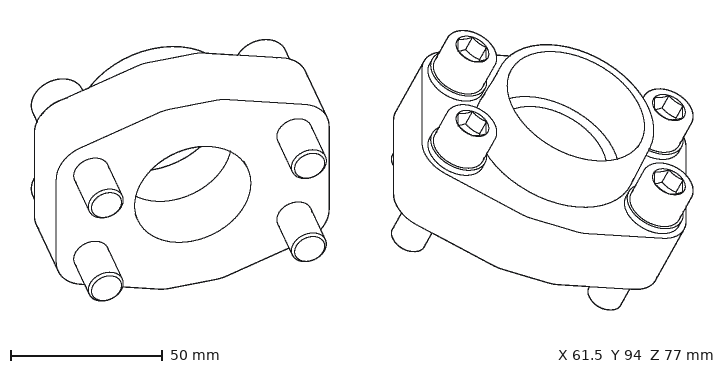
import cadquery as cq
import math

plate_thickness = 25.0
collar_length = 19.0
screw_projection = 17.5

bolt_y = 35.0
bolt_z = 17.9
corner_radius = 12.0
top_arc_y = 8.0
plate_height = 77.0
top_arc_z = plate_height / 2 - corner_radius

collar_end_radius = 28.0
collar_root_radius = 28.5
collar_root_fillet = 0.75
collar_rim_fillet = 0.8
bore_radius = 20.0
pipe_socket_radius = 24.4
pipe_socket_depth = 22.0

washer_radius = 10.0
washer_thickness = 2.4
head_radius = 9.0
head_height = 12.0
head_fillet = 1.1
shank_radius = 6.0
shank_chamfer = 0.8
hex_across_flats = 10.0
hex_depth = 6.0
hex_entry_radius = 5.8
hex_point_angle = 120

plate_front = 0.0
plate_back = plate_front + plate_thickness
collar_end = plate_front - collar_length
hex_corner_radius = hex_across_flats / math.sqrt(3)


def cylinder(radius, start_x, end_x):
    """Cylinder along X, centred on the X axis."""
    return cq.Workplane("YZ", origin=(start_x, 0, 0)).circle(radius).extrude(end_x - start_x)


def revolved(points):
    """Solid turned about the X axis from (x, radius) points."""
    return cq.Workplane("XY").polyline(points).close().revolve(360, (0, 0), (1, 0))


def make_plate():
    centres = [
        (bolt_y, -bolt_z),
        (bolt_y, bolt_z),
        (top_arc_y, top_arc_z),
        (-top_arc_y, top_arc_z),
        (-bolt_y, bolt_z),
        (-bolt_y, -bolt_z),
        (-top_arc_y, -top_arc_z),
        (top_arc_y, -top_arc_z),
    ]
    outline = cq.Workplane("YZ", origin=(plate_front, 0, 0)).polyline(centres).close()
    return outline.offset2D(corner_radius, "arc").extrude(plate_thickness)


def make_collar():
    cone = revolved([
        (collar_end, 0),
        (collar_end, collar_end_radius),
        (plate_front, collar_root_radius),
        (plate_front, 0),
    ])
    return cone.faces("<X").edges().fillet(collar_rim_fillet)


def make_root_fillet():
    start_x = plate_front - collar_root_fillet
    outer_radius = collar_root_radius + collar_root_fillet
    bulge = collar_root_fillet * math.sqrt(0.5)
    profile = (
        cq.Workplane("XY")
        .moveTo(start_x, bore_radius)
        .lineTo(start_x, collar_root_radius)
        .threePointArc((start_x + bulge, outer_radius - bulge), (plate_front, outer_radius))
        .lineTo(plate_front, bore_radius)
        .close()
    )
    return profile.revolve(360, (0, 0), (1, 0))


def make_hex_socket(head_top):
    floor_x = head_top + hex_depth
    point_height = hex_corner_radius / math.tan(math.radians(hex_point_angle / 2))
    hexagon = (
        cq.Workplane("YZ", origin=(head_top, 0, 0))
        .polygon(6, 2 * hex_corner_radius)
        .extrude(hex_depth + point_height)
        .rotate((0, 0, 0), (1, 0, 0), 90)
    )
    drill = revolved([
        (head_top, 0),
        (head_top, hex_corner_radius),
        (floor_x, hex_corner_radius),
        (floor_x + point_height, 0),
    ])
    entry_height = hex_entry_radius / math.tan(math.radians(hex_point_angle / 2))
    entry = revolved([(head_top, 0), (head_top, hex_entry_radius), (head_top + entry_height, 0)])
    return hexagon.intersect(drill).union(entry)


def make_screw():
    washer_face = plate_front - washer_thickness
    head_top = washer_face - head_height
    washer = cylinder(washer_radius, washer_face, plate_front)
    head = cylinder(head_radius, head_top, washer_face).faces("<X").edges().fillet(head_fillet)
    shank = cylinder(shank_radius, washer_face, plate_back + screw_projection)
    shank = shank.faces(">X").edges().chamfer(shank_chamfer)
    return head.union(washer).union(shank).cut(make_hex_socket(head_top))


body = make_plate().union(make_collar()).union(make_root_fillet())
body = body.cut(cylinder(bore_radius, collar_end, plate_back))
body = body.cut(cylinder(pipe_socket_radius, collar_end, collar_end + pipe_socket_depth))

screw = make_screw()
for side_y in (-1, 1):
    for side_z in (-1, 1):
        body = body.union(screw.translate((0, side_y * bolt_y, side_z * bolt_z)))

result = body